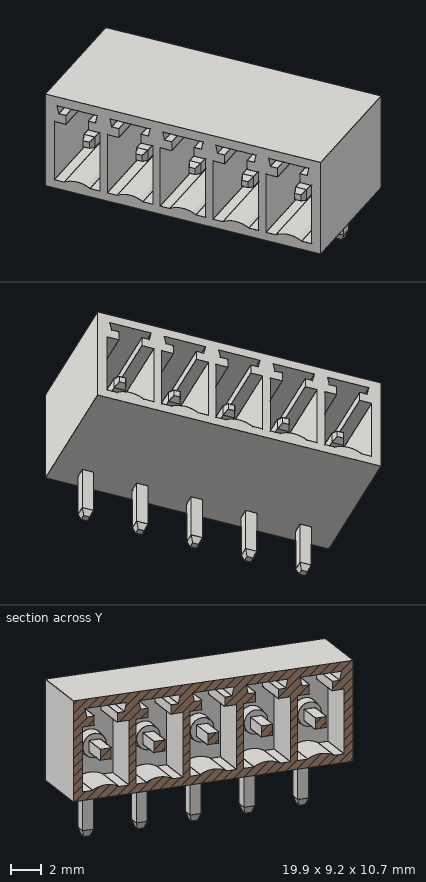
import cadquery as cq

POLES = 5
PITCH = 3.81
HOUSING_LENGTH = 19.85
HOUSING_DEPTH = 9.2
HOUSING_HEIGHT = 7.0

CAVITY_DEPTH = 7.2
CAVITY_WIDTH = 3.28
CAVITY_FLOOR = 0.64
CAVITY_SHOULDER = 5.08

RIB_WIDTH = 1.87
RIB_HEIGHT = 0.25

NECK_WIDTH = 1.6
NECK_TOP = 5.75
DOVETAIL_LOWER_WIDTH = 2.64
DOVETAIL_UPPER_WIDTH = 2.9
DOVETAIL_TOP = 6.33

COLLAR_BASE_DIAMETER = 1.77
COLLAR_TIP_DIAMETER = 1.67
COLLAR_LENGTH = 0.8

PIN_SIZE = 0.8
PIN_TIP_SIZE = 0.45
PIN_TAPER = 0.5
PIN_AXIS_HEIGHT = 3.0
PIN_TIP_SETBACK = 1.37
LEG_TO_REAR = 1.31
LEG_LENGTH = 3.7

leg_y = HOUSING_DEPTH - LEG_TO_REAR
pole_positions = [(i - (POLES - 1) / 2) * PITCH for i in range(POLES)]


def front_plane(x, y, z):
    """Plane facing -Y, with local x along X and local y along Z."""
    return cq.Plane(origin=(x, y, z), xDir=(1, 0, 0), normal=(0, -1, 0))


def make_housing():
    return cq.Workplane("XY").box(
        HOUSING_LENGTH, HOUSING_DEPTH, HOUSING_HEIGHT, centered=(True, False, False)
    )


def make_cavity(x):
    """Keyed plug cavity, open at the front face."""
    half_cavity = CAVITY_WIDTH / 2
    half_neck = NECK_WIDTH / 2
    half_lower = DOVETAIL_LOWER_WIDTH / 2
    half_upper = DOVETAIL_UPPER_WIDTH / 2
    half_rib = RIB_WIDTH / 2
    return (
        cq.Workplane(front_plane(x, 0, 0))
        .moveTo(-half_cavity, CAVITY_FLOOR)
        .lineTo(-half_rib, CAVITY_FLOOR)
        .threePointArc((0, CAVITY_FLOOR + RIB_HEIGHT), (half_rib, CAVITY_FLOOR))
        .lineTo(half_cavity, CAVITY_FLOOR)
        .lineTo(half_cavity, CAVITY_SHOULDER)
        .lineTo(half_neck, CAVITY_SHOULDER)
        .lineTo(half_neck, NECK_TOP)
        .lineTo(half_lower, NECK_TOP)
        .lineTo(half_upper, DOVETAIL_TOP)
        .lineTo(-half_upper, DOVETAIL_TOP)
        .lineTo(-half_lower, NECK_TOP)
        .lineTo(-half_neck, NECK_TOP)
        .lineTo(-half_neck, CAVITY_SHOULDER)
        .lineTo(-half_cavity, CAVITY_SHOULDER)
        .close()
        .extrude(-CAVITY_DEPTH)
    )


def make_collar(x):
    return (
        cq.Workplane(front_plane(x, CAVITY_DEPTH, PIN_AXIS_HEIGHT))
        .circle(COLLAR_BASE_DIAMETER / 2)
        .workplane(offset=COLLAR_LENGTH)
        .circle(COLLAR_TIP_DIAMETER / 2)
        .loft(ruled=True)
    )


def make_square_bar(start_plane, length):
    """Square bar along the plane's normal, tapered at its far end."""
    straight = length - PIN_TAPER
    shank = cq.Workplane(start_plane).rect(PIN_SIZE, PIN_SIZE).extrude(straight)
    tip = (
        cq.Workplane(start_plane)
        .workplane(offset=straight)
        .rect(PIN_SIZE, PIN_SIZE)
        .workplane(offset=PIN_TAPER)
        .rect(PIN_TIP_SIZE, PIN_TIP_SIZE)
        .loft(ruled=True)
    )
    return shank.union(tip)


def make_pin(x):
    """Contact pin pointing forward, joined to a solder leg pointing down."""
    contact = make_square_bar(front_plane(x, leg_y, PIN_AXIS_HEIGHT), leg_y - PIN_TIP_SETBACK)
    leg_plane = cq.Plane(origin=(x, leg_y, PIN_AXIS_HEIGHT), xDir=(1, 0, 0), normal=(0, 0, -1))
    leg = make_square_bar(leg_plane, PIN_AXIS_HEIGHT + LEG_LENGTH)
    return contact.union(leg)


result = make_housing()
for pole_x in pole_positions:
    result = result.cut(make_cavity(pole_x))
for pole_x in pole_positions:
    result = result.union(make_collar(pole_x)).union(make_pin(pole_x))